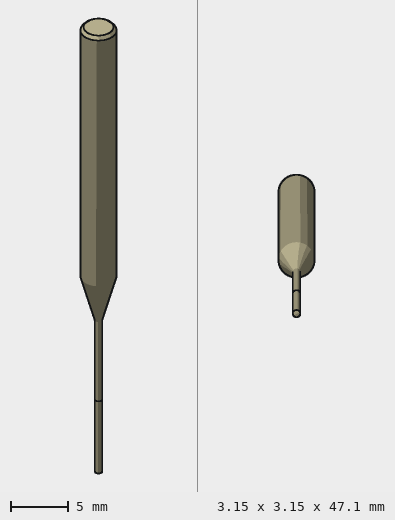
import cadquery as cq

total_length = 47.15
shank_diameter = 3.15
stem_diameter = 0.65

taper_top = 20.8
taper_bottom = 16.1
joint_height = 7.75

chamfer_width = 0.3
chamfer_height = 0.35

point_height = 0.1

shank_radius = shank_diameter / 2
stem_radius = stem_diameter / 2


def revolve_profile(points):
    """Revolve a closed (radius, height) outline around the Z axis."""
    return cq.Workplane("XZ").polyline(points).close().revolve(360, (0, 0), (0, 1))


def make_shank():
    """Chamfered shank that tapers down to the upper length of the stem."""
    return revolve_profile([
        (0, joint_height),
        (stem_radius, joint_height),
        (stem_radius, taper_bottom),
        (shank_radius, taper_top),
        (shank_radius, total_length - chamfer_height),
        (shank_radius - chamfer_width, total_length),
        (0, total_length),
    ])


def make_drill():
    """Cylindrical drill that continues the stem down to a shallow conical point."""
    return revolve_profile([
        (0, 0),
        (stem_radius, point_height),
        (stem_radius, joint_height),
        (0, joint_height),
    ])


shank = make_shank()
drill = make_drill()

result = cq.Compound.makeCompound([shank.val(), drill.val()])